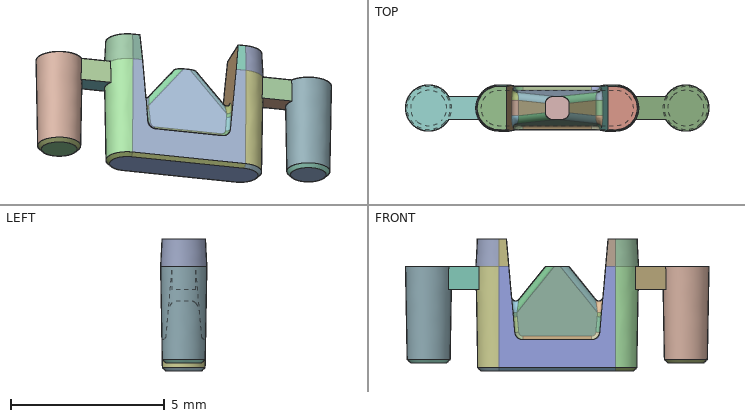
import cadquery as cq
import math

LENGTH = 9.91
RADIUS = 0.758
POST_TOP = 0.9
BODY_DEPTH = 3.42
PIN_DEPTH = 3.15
FOOT_CHAMFER = 0.12
POST_CENTER_X = 1.9
PIN_CENTER_X = LENGTH / 2 - RADIUS

LOWER_DRAFT = 1.0
UPPER_DRAFT = 3.0
WALL_DRAFT = 5.0

ARM_WIDTH = 0.75
ARM_HEIGHT = 0.75

NOTCH_DEPTH = 2.39
NOTCH_HALF_WIDTH = 1.58
NOTCH_CORNER = 0.27

PEAK_HALF_X = 0.39
PEAK_HALF_Y = 0.382
FLANK_DROP = 1.09
FLANK_RUN = 0.88
RIDGE_ROUND = 0.24
ROOT_FILLET = 0.13

wall_slope = math.tan(math.radians(WALL_DRAFT))


def make_body():
    """Drafted stadium column, split at the parting plane."""
    plan = cq.Sketch().slot(2 * POST_CENTER_X, 2 * RADIUS)
    lower = cq.Workplane("XY").placeSketch(plan).extrude(-BODY_DEPTH, taper=LOWER_DRAFT)
    lower = lower.faces("<Z").chamfer(FOOT_CHAMFER)
    upper = cq.Workplane("XY").placeSketch(plan).extrude(POST_TOP, taper=UPPER_DRAFT)
    return lower.union(upper)


def notch_half_width(z):
    return NOTCH_HALF_WIDTH + z * wall_slope


def make_notch():
    """Tapered opening with rounded floor corners, through the full thickness."""
    top = notch_half_width(POST_TOP)
    floor = notch_half_width(-NOTCH_DEPTH)
    outline = [(-top, POST_TOP), (top, POST_TOP), (floor, -NOTCH_DEPTH), (-floor, -NOTCH_DEPTH)]
    block = cq.Workplane("XZ").polyline(outline).close().extrude(2 * RADIUS, both=True)
    return block.edges("|Y and <Z").fillet(NOTCH_CORNER)


def make_web():
    """Gabled web whose broad faces lean in towards the peak."""
    floor = -(BODY_DEPTH + NOTCH_DEPTH) / 2
    reach = POST_CENTER_X
    eave = -(reach - PEAK_HALF_X) * FLANK_DROP / FLANK_RUN
    gable = [
        (-PEAK_HALF_X, 0), (PEAK_HALF_X, 0),
        (reach, eave), (reach, floor),
        (-reach, floor), (-reach, eave),
    ]
    plate = cq.Workplane("XZ").polyline(gable).close().extrude(RADIUS, both=True)
    foot_half_y = PEAK_HALF_Y - floor * wall_slope
    section = [(-PEAK_HALF_Y, 0), (PEAK_HALF_Y, 0), (foot_half_y, floor), (-foot_half_y, floor)]
    wedge = cq.Workplane("YZ").polyline(section).close().extrude(LENGTH / 2, both=True)
    web = plate.intersect(wedge)
    for side in (-1, 1):
        middle = (side * (PEAK_HALF_X + reach) / 2, 0, eave / 2)
        flank = web.faces(cq.selectors.NearestToPointSelector(middle))
        web = flank.edges("not(|Y)").fillet(RIDGE_ROUND)
    return web


def make_pin_and_arm(side):
    pin = (
        cq.Workplane("XY").center(side * PIN_CENTER_X, 0).circle(RADIUS)
        .extrude(-PIN_DEPTH, taper=LOWER_DRAFT).faces("<Z").chamfer(FOOT_CHAMFER)
    )
    arm_length = PIN_CENTER_X - POST_CENTER_X
    arm_center = side * (PIN_CENTER_X + POST_CENTER_X) / 2
    arm = cq.Workplane("XY").center(arm_center, 0).rect(arm_length, ARM_WIDTH).extrude(-ARM_HEIGHT)
    return pin.union(arm)


def fillet_web_root(frame):
    """Blend the web into the notch walls and floor, on the inside corners only."""
    margin = 0.03
    web_reach_y = PEAK_HALF_Y + NOTCH_DEPTH * wall_slope + margin
    root_box = cq.selectors.BoxSelector(
        (-NOTCH_HALF_WIDTH, -web_reach_y, -NOTCH_DEPTH - margin),
        (NOTCH_HALF_WIDTH, web_reach_y, -FLANK_DROP),
        boundingbox=True,
    )
    flank_box = cq.selectors.BoxSelector(
        (-PEAK_HALF_X - FLANK_RUN, -RADIUS, -NOTCH_DEPTH + margin),
        (PEAK_HALF_X + FLANK_RUN, RADIUS, 0),
    )
    return frame.edges(root_box - flank_box).fillet(ROOT_FILLET)


frame = make_body().cut(make_notch()).union(make_web())
result = fillet_web_root(frame)
for side in (-1, 1):
    result = result.union(make_pin_and_arm(side))